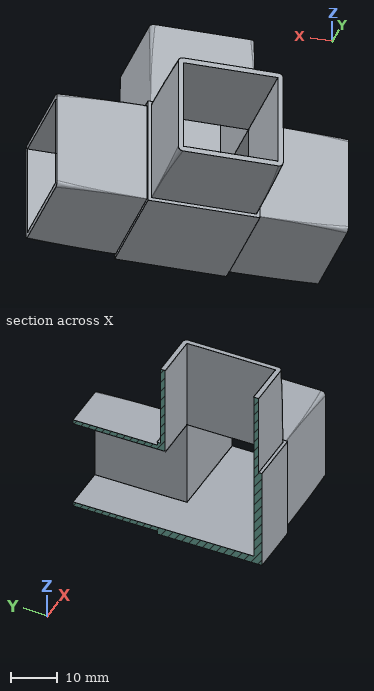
import cadquery as cq

overall_length = 65.0
arm_length = 20.0
core_size = overall_length - 2 * arm_length
arm_width = 23.4
bore_width = 21.0
tip_radius = 1.05
root_radius = 0.01

half_core = core_size / 2
reach = half_core + arm_length

arm_directions = [
    ((-1, 0, 0), (0, 1, 0)),
    ((1, 0, 0), (0, 1, 0)),
    ((0, 1, 0), (1, 0, 0)),
    ((0, 0, 1), (1, 0, 0)),
]


def arm_section(direction, section_x, fraction):
    """Rounded square at a fraction of the arm length; its radius grows quadratically."""
    radius = root_radius + (tip_radius - root_radius) * fraction**2
    distance = half_core + arm_length * fraction
    origin = tuple(component * distance for component in direction)
    plane = cq.Plane(origin=origin, xDir=section_x, normal=direction)
    square = cq.Workplane(plane).rect(arm_width, arm_width).wires().val()
    return square.fillet2D(radius, square.Vertices())


def arm(direction, section_x):
    """Solid spigot whose corners round off gradually toward the tip."""
    sections = [arm_section(direction, section_x, fraction) for fraction in (0, 0.5, 1)]
    return cq.Workplane(obj=cq.Solid.makeLoft(sections))


def bore(direction, section_x):
    """Square bore from the far wall of the central cavity out through the arm tip."""
    origin = tuple(-component * bore_width / 2 for component in direction)
    plane = cq.Plane(origin=origin, xDir=section_x, normal=direction)
    return cq.Workplane(plane).rect(bore_width, bore_width).extrude(reach + bore_width / 2)


result = cq.Workplane().box(core_size, core_size, core_size)
for direction, section_x in arm_directions:
    result = result.union(arm(direction, section_x))
for direction, section_x in arm_directions:
    result = result.cut(bore(direction, section_x))